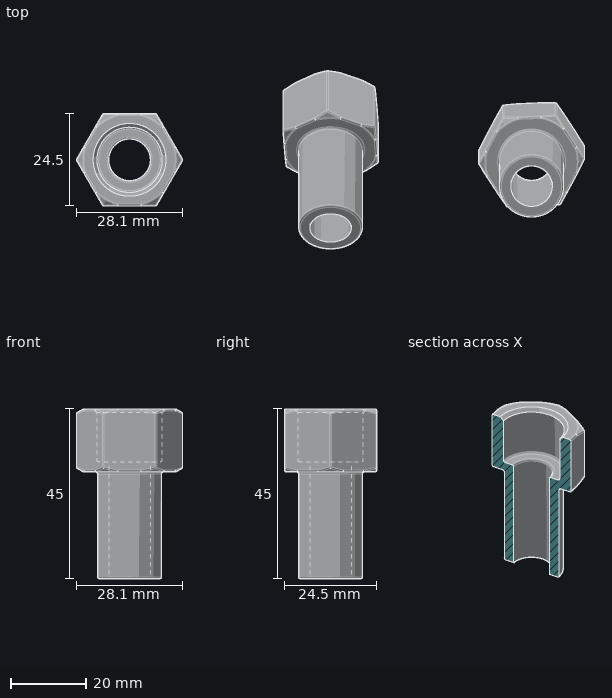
import cadquery as cq
import math

total_height = 45.0
head_height = 16.7
shank_length = total_height - head_height

hexagon_sides = 6
across_flats = 24.5
across_corners = across_flats / math.cos(math.pi / hexagon_sides)
corner_cone_angle = 30.0
corner_cone_start_radius = 12.27

shank_diameter = 17.0
through_hole_diameter = 11.0
socket_diameter = 17.3
socket_depth = 14.0
socket_mouth_diameter = 19.3
socket_mouth_depth = 1.0

edge_radius = 0.5
quarter_round_offset = edge_radius * math.sqrt(0.5)


def radial_profile():
    """Sketch with radius along X and height along Z."""
    return cq.Workplane("XZ")


def spin(profile):
    """Close a radial profile and revolve it fully about the Z axis."""
    return profile.close().revolve(360, (0, 0, 0), (0, 1, 0))


def round_middle(centre_radius, centre_height, radial_side, height_side):
    """Middle point of a quarter round, on the given sides (+1 or -1) of its centre."""
    return (
        centre_radius + radial_side * quarter_round_offset,
        centre_height + height_side * quarter_round_offset,
    )


def cone_envelope():
    """Revolved blank whose conical ends trim the corners of the head."""
    rim_radius = across_corners / 2
    cone_drop = (rim_radius - corner_cone_start_radius) * math.tan(math.radians(corner_cone_angle))
    return spin(
        radial_profile()
        .moveTo(0, shank_length)
        .lineTo(corner_cone_start_radius, shank_length)
        .lineTo(rim_radius, shank_length + cone_drop)
        .lineTo(rim_radius, total_height - cone_drop)
        .lineTo(corner_cone_start_radius, total_height)
        .lineTo(0, total_height)
    )


def hex_head():
    """Hexagon with corners on the X axis, coned at both ends and rounded on every edge."""
    hexagon = (
        cq.Workplane("XY")
        .workplane(offset=shank_length)
        .polygon(hexagon_sides, across_corners)
        .extrude(head_height)
    )
    return hexagon.intersect(cone_envelope()).edges().fillet(edge_radius)


def shank():
    """Round shank, rounded at its free end and flared into the head by a root fillet."""
    radius = shank_diameter / 2
    end_inner = radius - edge_radius
    root_outer = radius + edge_radius
    root_start = shank_length - edge_radius
    return spin(
        radial_profile()
        .lineTo(end_inner, 0)
        .threePointArc(round_middle(end_inner, edge_radius, 1, -1), (radius, edge_radius))
        .lineTo(radius, root_start)
        .threePointArc(round_middle(root_outer, root_start, -1, 1), (root_outer, shank_length))
        .lineTo(0, shank_length)
    )


def stepped_bore():
    """Cutter for the through hole with a rounded lip, the filleted socket and its chamfered mouth."""
    hole_radius = through_hole_diameter / 2
    socket_radius = socket_diameter / 2
    floor = total_height - socket_depth
    lip_outer = hole_radius + edge_radius
    lip_start = floor - edge_radius
    floor_outer = socket_radius - edge_radius
    wall_start = floor + edge_radius
    return spin(
        radial_profile()
        .lineTo(hole_radius, 0)
        .lineTo(hole_radius, lip_start)
        .threePointArc(round_middle(lip_outer, lip_start, -1, 1), (lip_outer, floor))
        .lineTo(floor_outer, floor)
        .threePointArc(round_middle(floor_outer, wall_start, 1, -1), (socket_radius, wall_start))
        .lineTo(socket_radius, total_height - socket_mouth_depth)
        .lineTo(socket_mouth_diameter / 2, total_height)
        .lineTo(0, total_height)
    )


result = hex_head().union(shank()).cut(stepped_bore())